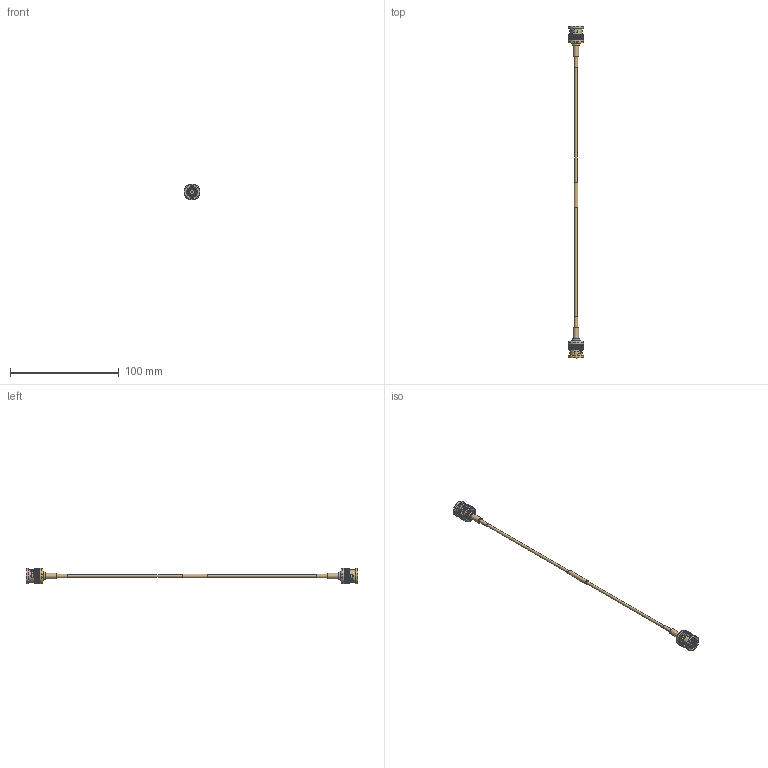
import cadquery as cq
import math


TOTAL_LENGTH = 304.8

CABLE_DIAMETER = 2.6
SLEEVE_DIAMETER = 3.0
MARKER_DIAMETER = 3.6
MARKER_LENGTH = 23.2
MARKER_CENTER_Y = -2.6

RIM_END = 2.0
NECK_START = 2.7
NUT_START = 7.8
KNURL_END = 12.6
NUT_CHAMFER_START = 14.6
NUT_END = 15.4
SHOULDER_END = 16.0
COLLAR_END = 18.0
FERRULE_END = 28.0
SLEEVE_END = 37.9

NUT_DIAMETER = 14.5
CHAMFER_DIAMETER = 13.9
RIM_BACK_DIAMETER = 12.8
NECK_DIAMETER = 11.35
REAR_RECESS_DIAMETER = 12.8
REAR_RECESS_DEPTH = 0.7
HUB_DIAMETER = 9.5
SHOULDER_DIAMETER = 8.4
COLLAR_DIAMETER = 7.3
FERRULE_DIAMETER = 5.0
EDGE_CHAMFER = (NUT_DIAMETER - CHAMFER_DIAMETER) / 2

SHELL_BORE = 9.8
CAVITY_DEPTH = 9.0
CONTACT_TUBE_OUTER = 7.7
CONTACT_TUBE_INNER = 6.5
CONTACT_TUBE_START = 0.5
CONTACT_LIP_DIAMETER = 8.4
CONTACT_LIP_LENGTH = 1.0
INSULATOR_DIAMETER = 4.7
INSULATOR_START = 1.0
PIN_DIAMETER = 1.35
PIN_START = 0.4

SLOT_COUNT = 2
ENTRY_DIAMETER = 12.8
SLOT_WIDTH = 2.6
SLOT_START = 4.4
DETENT_STATION = 6.0
DETENT_DIAMETER = 3.0
RAMP_TURN = 60.0
SLOT_TURN = 90.0
SLOT_FLOOR_RADIUS = 4.5
SLOT_CUT_RADIUS = 6.2

KNURL_COUNT = 40
KNURL_DEPTH = 0.3
GROOVE_SHARE = 0.9


def cylinder(diameter, start, end):
    return cq.Workplane("XY").workplane(offset=start).circle(diameter / 2).extrude(end - start)


def plug_body():
    """Revolved outside of the plug, from the mating rim to the heat-shrink sleeve."""
    stations = [
        (CHAMFER_DIAMETER, 0),
        (NUT_DIAMETER, EDGE_CHAMFER),
        (NUT_DIAMETER, RIM_END),
        (RIM_BACK_DIAMETER, NECK_START),
        (NECK_DIAMETER, NECK_START),
        (NECK_DIAMETER, NUT_START),
        (NUT_DIAMETER, NUT_START),
        (NUT_DIAMETER, NUT_CHAMFER_START),
        (CHAMFER_DIAMETER, NUT_END),
        (REAR_RECESS_DIAMETER, NUT_END),
        (REAR_RECESS_DIAMETER, NUT_END - REAR_RECESS_DEPTH),
        (HUB_DIAMETER, NUT_END - REAR_RECESS_DEPTH),
        (HUB_DIAMETER, NUT_END),
        (SHOULDER_DIAMETER, NUT_END),
        (SHOULDER_DIAMETER, SHOULDER_END),
        (COLLAR_DIAMETER, SHOULDER_END),
        (COLLAR_DIAMETER, COLLAR_END),
        (FERRULE_DIAMETER, COLLAR_END),
        (FERRULE_DIAMETER, FERRULE_END),
        (SLEEVE_DIAMETER, FERRULE_END),
        (SLEEVE_DIAMETER, SLEEVE_END),
    ]
    outline = [(0, 0)] + [(diameter / 2, station) for diameter, station in stations] + [(0, SLEEVE_END)]
    return cq.Workplane("XZ").polyline(outline).close().revolve(360, (0, 0, 0), (0, 1, 0))


def contacts():
    """Slim contact tube with a lip, around the insulator and the center pin."""
    lip_end = CONTACT_TUBE_START + CONTACT_LIP_LENGTH
    tube = cylinder(CONTACT_TUBE_OUTER, CONTACT_TUBE_START, CAVITY_DEPTH)
    tube = tube.union(cylinder(CONTACT_LIP_DIAMETER, CONTACT_TUBE_START, lip_end))
    tube = tube.cut(cylinder(CONTACT_TUBE_INNER, CONTACT_TUBE_START, CAVITY_DEPTH))
    insulator = cylinder(INSULATOR_DIAMETER, INSULATOR_START, CAVITY_DEPTH)
    pin = cylinder(PIN_DIAMETER, PIN_START, CAVITY_DEPTH)
    return tube.union(insulator).union(pin)


def slot_section():
    """Radial cross section of the slot, through the wall of the neck on the +X side."""
    half_width = SLOT_WIDTH / 2
    return (
        cq.Workplane("XZ")
        .moveTo(SLOT_FLOOR_RADIUS, -half_width)
        .lineTo(SLOT_CUT_RADIUS, -half_width)
        .lineTo(SLOT_CUT_RADIUS, half_width)
        .lineTo(SLOT_FLOOR_RADIUS, half_width)
        .close()
    )


def bayonet_slot():
    """Straight entry inside the rim, helical ramp, level run and round detent; the entry faces +X."""
    entry_radius = ENTRY_DIAMETER / 2
    entry = (
        cq.Workplane("XY")
        .center((SLOT_FLOOR_RADIUS + entry_radius) / 2, 0)
        .rect(entry_radius - SLOT_FLOOR_RADIUS, SLOT_WIDTH)
        .extrude(SLOT_START + SLOT_WIDTH / 2)
    )
    climb = DETENT_STATION - SLOT_START
    mid_radius = (SLOT_FLOOR_RADIUS + SLOT_CUT_RADIUS) / 2
    helix = cq.Wire.makeHelix(climb * 360 / RAMP_TURN, climb, mid_radius)
    ramp = slot_section().sweep(cq.Workplane(helix), isFrenet=True).translate((0, 0, SLOT_START))
    level_run = (
        slot_section()
        .revolve(SLOT_TURN - RAMP_TURN, (0, 0, 0), (0, 1, 0))
        .rotate((0, 0, 0), (0, 0, 1), RAMP_TURN)
        .translate((0, 0, DETENT_STATION))
    )
    detent = (
        cq.Workplane("YZ", origin=(SLOT_FLOOR_RADIUS, 0, DETENT_STATION))
        .circle(DETENT_DIAMETER / 2)
        .extrude(SLOT_CUT_RADIUS - SLOT_FLOOR_RADIUS)
        .rotate((0, 0, 0), (0, 0, 1), SLOT_TURN)
    )
    return entry, ramp, level_run, detent


def knurl_grooves():
    """V grooves along the front part of the coupling nut."""
    radius = NUT_DIAMETER / 2
    pitch = math.pi * NUT_DIAMETER / KNURL_COUNT
    groove_width = GROOVE_SHARE * pitch
    groove = (
        cq.Workplane("XY")
        .workplane(offset=NUT_START)
        .moveTo(radius - KNURL_DEPTH, 0)
        .lineTo(radius + KNURL_DEPTH, groove_width)
        .lineTo(radius + KNURL_DEPTH, -groove_width)
        .close()
        .extrude(KNURL_END - NUT_START)
        .val()
    )
    step = 360 / KNURL_COUNT
    return [groove.rotate(cq.Vector(), cq.Vector(0, 0, 1), step * (i + 0.5)) for i in range(KNURL_COUNT)]


def plug():
    body = plug_body()
    body = body.cut(cylinder(SHELL_BORE, 0, CAVITY_DEPTH))
    for index in range(SLOT_COUNT):
        angle = 90 + index * 360 / SLOT_COUNT
        for cutter in bayonet_slot():
            body = body.cut(cutter.rotate((0, 0, 0), (0, 0, 1), angle))
    body = cq.Workplane(body.val().cut(*knurl_grooves()))
    return body.union(contacts())


def along_y(diameter, length, center_y):
    """Cylinder on the Y axis, centered at center_y."""
    return (
        cq.Workplane("XZ", origin=(0, center_y + length / 2, 0))
        .circle(diameter / 2)
        .extrude(length)
    )


rear_plug = plug().rotate((0, 0, 0), (1, 0, 0), 90).translate((0, TOTAL_LENGTH / 2, 0))
front_plug = rear_plug.rotate((0, 0, 0), (0, 0, 1), 180)
cable = along_y(CABLE_DIAMETER, TOTAL_LENGTH - 2 * FERRULE_END, 0)
marker = along_y(MARKER_DIAMETER, MARKER_LENGTH, MARKER_CENTER_Y)

result = cable.union(marker).union(rear_plug).union(front_plug)